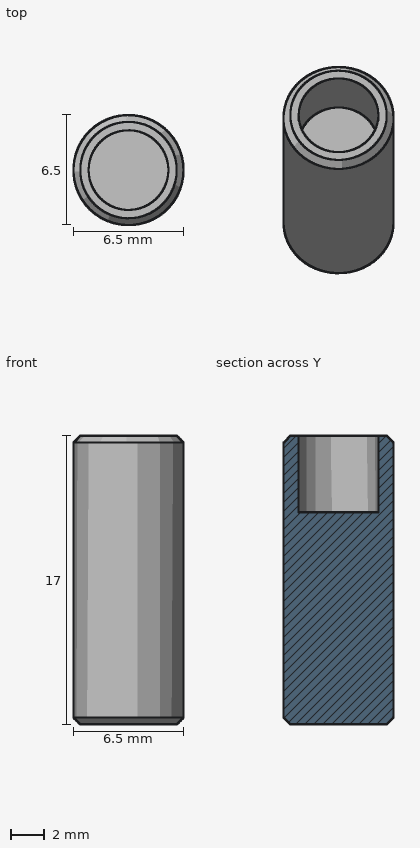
import cadquery as cq

length = 17.0
outer_diameter = 6.5
bore_diameter = 4.7
edge_chamfer = 0.4
bore_depth = 4.5

body = cq.Workplane("XY").circle(outer_diameter / 2).extrude(length)
body = body.faces("<Z or >Z").chamfer(edge_chamfer)

result = body.faces(">Z").workplane().hole(bore_diameter, bore_depth)